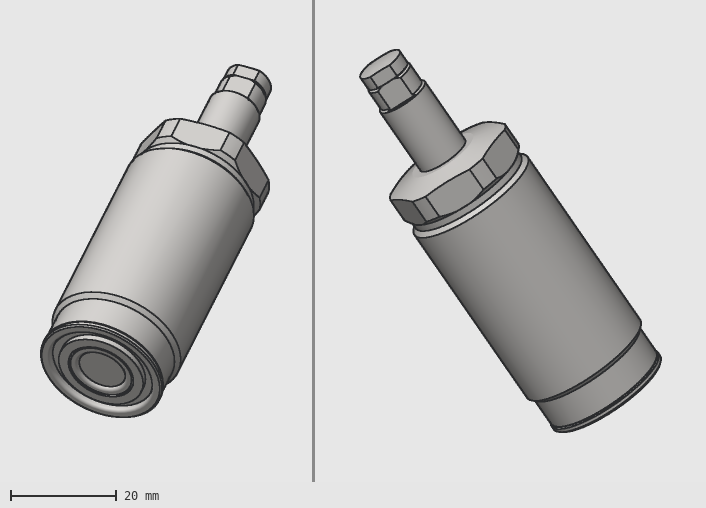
import cadquery as cq
import math

LENGTH = 79.0

BODY_RADIUS = 12.995
NECK_RADIUS = 12.1
BODY_FRONT_Y = 7.4
BODY_REAR_Y = 48.2
SHOULDER_CHAMFER = BODY_RADIUS - NECK_RADIUS
BOSS_RADIUS = 8.5
BOSS_FRONT_Y = 0.1

HEX_FLAT_DISTANCE = 12.0
HEX_SIDES = 6
NUT_FRONT_Y = 49.6
NUT_REAR_Y = 56.95
NUT_REAR_FACE_RADIUS = 6.9
NUT_REAR_CONE_ANGLE = 15.0

RING_RADIUS = 12.25
RING_BORE_RADIUS = 10.2
RING_THICKNESS = 1.35
RING_CHAMFER = 0.3
RING_BORE_FILLET = 0.6

INSERT_RADIUS = 6.55
INSERT_FRONT_Y = 0.15
INSERT_REAR_Y = 3.95
INSERT_CHAMFER = 0.4
RECESS_RADIUS = 4.7
RECESS_DEPTH = 0.7

ROD_RADIUS = 5.1
ROD_SHOULDER_Y = 70.95
SPIGOT_RADIUS = 4.7
SPIGOT_REAR_Y = 76.0
SPIGOT_CHAMFER = 0.55
TIP_RADIUS = 4.5
TIP_DOME_HEIGHT = 0.3
FLAT_DISTANCE = 3.95
FLATS_FRONT_Y = 71.0


def revolve_about_y(profile):
    """Turn a closed half profile, drawn as (radius, Y), into a solid of revolution."""
    return profile.close().revolve(360, (0, 0, 0), (0, 1, 0))


def cylinder_along_y(radius, front_y, rear_y):
    """Make a plain cylinder on the Y axis between two Y positions."""
    return cq.Workplane("XZ", origin=(0, front_y, 0)).circle(radius).extrude(front_y - rear_y)


def cut_wrench_flats(solid):
    """Cut the two parallel flats from FLATS_FRONT_Y to the rear end."""
    flats_length = LENGTH - FLATS_FRONT_Y
    for side in (1, -1):
        cutter = cq.Workplane("XY").box(
            2 * ROD_RADIUS, flats_length, ROD_RADIUS, centered=(True, False, True)
        )
        cutter = cutter.translate((0, FLATS_FRONT_Y, side * (FLAT_DISTANCE + ROD_RADIUS / 2)))
        solid = solid.cut(cutter)
    return solid


def make_nut_section():
    cone_height = (BODY_RADIUS - NUT_REAR_FACE_RADIUS) * math.tan(math.radians(NUT_REAR_CONE_ANGLE))
    turned = revolve_about_y(
        cq.Workplane("XY")
        .moveTo(0, NUT_FRONT_Y)
        .lineTo(NECK_RADIUS, NUT_FRONT_Y)
        .lineTo(BODY_RADIUS, NUT_FRONT_Y + SHOULDER_CHAMFER)
        .lineTo(BODY_RADIUS, NUT_REAR_Y - cone_height)
        .lineTo(NUT_REAR_FACE_RADIUS, NUT_REAR_Y)
        .lineTo(0, NUT_REAR_Y)
    )
    hex_corner_diameter = 2 * HEX_FLAT_DISTANCE / math.cos(math.pi / HEX_SIDES)
    hexagon = (
        cq.Workplane("XZ", origin=(0, NUT_FRONT_Y, 0))
        .polygon(HEX_SIDES, hex_corner_diameter)
        .extrude(NUT_FRONT_Y - NUT_REAR_Y)
    )
    return turned.intersect(hexagon)


def make_housing():
    barrel = revolve_about_y(
        cq.Workplane("XY")
        .moveTo(0, BOSS_FRONT_Y)
        .lineTo(BOSS_RADIUS, BOSS_FRONT_Y)
        .lineTo(BOSS_RADIUS, RING_THICKNESS)
        .lineTo(NECK_RADIUS, RING_THICKNESS)
        .lineTo(NECK_RADIUS, BODY_FRONT_Y)
        .lineTo(BODY_RADIUS, BODY_FRONT_Y + SHOULDER_CHAMFER)
        .lineTo(BODY_RADIUS, BODY_REAR_Y - SHOULDER_CHAMFER)
        .lineTo(NECK_RADIUS, BODY_REAR_Y)
        .lineTo(NECK_RADIUS, NUT_FRONT_Y)
        .lineTo(0, NUT_FRONT_Y)
    )
    insert_hole = cylinder_along_y(INSERT_RADIUS, BOSS_FRONT_Y, INSERT_REAR_Y)
    return barrel.union(make_nut_section()).cut(insert_hole)


def make_front_ring():
    ring = cylinder_along_y(RING_RADIUS, 0, RING_THICKNESS)
    ring = ring.faces("<Y or >Y").chamfer(RING_CHAMFER)
    ring = ring.cut(cylinder_along_y(RING_BORE_RADIUS, 0, RING_THICKNESS))
    bore_mouth = cq.selectors.RadiusNthSelector(0)
    return ring.faces("<Y").edges(bore_mouth).fillet(RING_BORE_FILLET)


def make_insert():
    recess_floor_y = INSERT_FRONT_Y + RECESS_DEPTH
    return revolve_about_y(
        cq.Workplane("XY")
        .moveTo(0, INSERT_REAR_Y)
        .lineTo(INSERT_RADIUS, INSERT_REAR_Y)
        .lineTo(INSERT_RADIUS, INSERT_FRONT_Y + INSERT_CHAMFER)
        .lineTo(INSERT_RADIUS - INSERT_CHAMFER, INSERT_FRONT_Y)
        .lineTo(RECESS_RADIUS + RECESS_DEPTH, INSERT_FRONT_Y)
        .radiusArc((RECESS_RADIUS, recess_floor_y), RECESS_DEPTH)
        .lineTo(0, recess_floor_y)
    )


def make_rod():
    shoulder_chamfer = ROD_RADIUS - SPIGOT_RADIUS
    rod = revolve_about_y(
        cq.Workplane("XY")
        .moveTo(0, NUT_REAR_Y)
        .lineTo(ROD_RADIUS, NUT_REAR_Y)
        .lineTo(ROD_RADIUS, ROD_SHOULDER_Y)
        .lineTo(SPIGOT_RADIUS, ROD_SHOULDER_Y + shoulder_chamfer)
        .lineTo(SPIGOT_RADIUS, SPIGOT_REAR_Y - SPIGOT_CHAMFER)
        .lineTo(SPIGOT_RADIUS - SPIGOT_CHAMFER, SPIGOT_REAR_Y)
        .lineTo(0, SPIGOT_REAR_Y)
    )
    return cut_wrench_flats(rod)


def make_tip():
    dome_radius = (TIP_RADIUS**2 + TIP_DOME_HEIGHT**2) / (2 * TIP_DOME_HEIGHT)
    tip = revolve_about_y(
        cq.Workplane("XY")
        .moveTo(0, SPIGOT_REAR_Y)
        .lineTo(TIP_RADIUS, SPIGOT_REAR_Y)
        .lineTo(TIP_RADIUS, LENGTH - TIP_DOME_HEIGHT)
        .radiusArc((0, LENGTH), -dome_radius)
    )
    return cut_wrench_flats(tip)


housing = make_housing()
front_ring = make_front_ring()
insert = make_insert()
rod = make_rod()
tip = make_tip()

bodies = [housing, front_ring, insert, rod, tip]
result = cq.Compound.makeCompound([body.solids().val() for body in bodies])